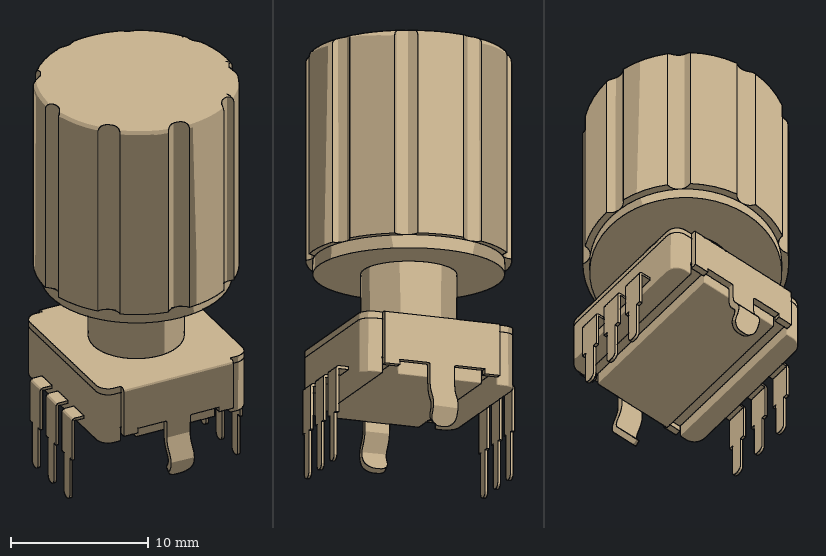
import cadquery as cq
import math


case_height = 4.6
neck_height = 5.0
collar_height = 1.0
grip_height = 15.5

grip_diameter = 15.0
knob_edge_radius = 0.5
collar_diameter = grip_diameter - 2 * knob_edge_radius
flute_count = 9
flute_radius = 1.0
flute_phase = -3.0
neck_diameter = 7.0

case_length = 12.35
case_width = 12.03
case_corner_radius = 1.0
plate_thickness = 0.5
groove_height = 1.2
groove_inner = 3.25
groove_outer = 4.48
case_edge_radius = 0.1

sheet_thickness = 0.48
side_width = 9.0
side_drop = 3.97
side_edge_radius = 0.25
notch_width = 6.65
notch_drop = 3.6

clip_width = 1.92
clip_straight_drop = 5.02
clip_angle = 33.0
clip_upper_radius = 1.55
clip_lower_radius = 1.15
clip_link_length = 0.4
clip_tail_length = 1.0
clip_tip_radius = 0.8
notch_corner_radius = 0.15

pin_columns = 3
pin_pitch = 2.5
pin_reach = 7.0
pin_thickness = 0.22
pin_bend_radius = 0.25
pin_top = 1.1
pin_wide_bottom = -2.4
pin_bottom = -5.92
pin_wide_width = 1.6
pin_narrow_width = 0.93
pin_tip_radius = 0.4

plate_bottom = case_height - plate_thickness
collar_bottom = case_height + neck_height
grip_bottom = collar_bottom + collar_height
side_outer = case_length / 2 + sheet_thickness


def make_knob():
    grip = (
        cq.Workplane("XY", origin=(0, 0, grip_bottom))
        .circle(grip_diameter / 2)
        .extrude(grip_height)
        .faces(">Z")
        .edges()
        .fillet(knob_edge_radius)
    )
    flutes = (
        cq.Workplane("XY", origin=(0, 0, grip_bottom))
        .polarArray(collar_diameter / 2 + flute_radius, flute_phase, 360, flute_count)
        .circle(flute_radius)
        .extrude(grip_height)
    )
    collar = (
        cq.Workplane("XY", origin=(0, 0, collar_bottom))
        .circle(collar_diameter / 2)
        .extrude(collar_height)
    )
    return grip.cut(flutes).union(collar)


def make_neck():
    return (
        cq.Workplane("XY", origin=(0, 0, case_height))
        .circle(neck_diameter / 2)
        .extrude(neck_height)
    )


def rounded_block(bottom, height):
    return (
        cq.Workplane("XY", origin=(0, 0, bottom))
        .rect(case_length, case_width)
        .extrude(height)
        .edges("|Z")
        .fillet(case_corner_radius)
    )


def make_housing():
    groove_middle = (groove_inner + groove_outer) / 2
    grooves = (
        cq.Workplane("XY")
        .pushPoints([(0, -groove_middle), (0, groove_middle)])
        .rect(case_length, groove_outer - groove_inner)
        .extrude(groove_height)
    )
    block = rounded_block(0, plate_bottom).cut(grooves)
    groove_zone = cq.selectors.BoxSelector(
        (-case_length, -case_width, 0),
        (case_length, case_width, groove_height),
    )
    block = block.edges("|Z").edges(groove_zone).fillet(case_edge_radius)
    return block.faces("<Z").edges().fillet(case_edge_radius)


def make_clip():
    """Bent strip on the +X side: out, round the elbow, and back in to the tip."""
    angle = math.radians(clip_angle)
    sin, cos = math.sin(angle), math.cos(angle)
    half_sin, half_cos = math.sin(angle / 2), math.cos(angle / 2)

    def face_points(inset):
        """Points down one face of the strip, inset from its outer face."""
        upper = clip_upper_radius + inset
        lower = clip_lower_radius - inset
        start = (side_outer - inset, case_height - clip_straight_drop)
        upper_mid = (start[0] + upper * (1 - half_cos), start[1] - upper * half_sin)
        upper_end = (start[0] + upper * (1 - cos), start[1] - upper * sin)
        link_end = (upper_end[0] + clip_link_length * sin, upper_end[1] - clip_link_length * cos)
        elbow = (link_end[0] + lower * (1 - cos), link_end[1] - lower * sin)
        tail_start = (link_end[0], link_end[1] - 2 * lower * sin)
        tip = (tail_start[0] - clip_tail_length * sin, tail_start[1] - clip_tail_length * cos)
        return start, upper_mid, upper_end, link_end, elbow, tail_start, tip

    start, upper_mid, upper_end, link_end, elbow, tail_start, tip = face_points(0)
    (
        back_start,
        back_upper_mid,
        back_upper_end,
        back_link_end,
        back_elbow,
        back_tail_start,
        back_tip,
    ) = face_points(sheet_thickness)
    clip_top = case_height - notch_drop
    strip = (
        cq.Workplane("XZ")
        .moveTo(side_outer, clip_top)
        .lineTo(*start)
        .threePointArc(upper_mid, upper_end)
        .lineTo(*link_end)
        .threePointArc(elbow, tail_start)
        .lineTo(*tip)
        .lineTo(*back_tip)
        .lineTo(*back_tail_start)
        .threePointArc(back_elbow, back_link_end)
        .lineTo(*back_upper_end)
        .threePointArc(back_upper_mid, back_start)
        .lineTo(side_outer - sheet_thickness, clip_top)
        .close()
        .extrude(clip_width / 2, both=True)
    )
    tip_middle_x = (tip[0] + back_tip[0]) / 2
    tip_middle_z = (tip[1] + back_tip[1]) / 2
    for y in (-clip_width / 2, clip_width / 2):
        corner = cq.selectors.NearestToPointSelector((tip_middle_x, y, tip_middle_z))
        strip = strip.edges(corner).fillet(clip_tip_radius)
    return strip


def make_side():
    """Side plate on the +X side, with a notch either side of its clip."""
    side_bottom = case_height - side_drop
    plate = (
        cq.Workplane("XY", origin=(case_length / 2 + sheet_thickness / 2, 0, side_bottom))
        .rect(sheet_thickness, side_width)
        .extrude(side_drop)
        .faces(">Z")
        .edges(">X")
        .fillet(side_edge_radius)
    )
    notch = (
        cq.Workplane("XY", origin=(case_length / 2 + sheet_thickness / 2, 0, side_bottom))
        .rect(sheet_thickness, notch_width)
        .extrude(side_drop - notch_drop)
    )
    side = plate.cut(notch).union(make_clip())
    root = case_height - notch_drop
    for y in (-clip_width / 2, clip_width / 2):
        corner = cq.selectors.NearestToPointSelector((side_outer - sheet_thickness / 2, y, root))
        side = side.edges(corner).fillet(notch_corner_radius)
    return side


def make_frame():
    """Top plate with the two side plates bent down from it."""
    side = make_side()
    return rounded_block(plate_bottom, plate_thickness).union(side).union(side.mirror("YZ"))


def make_pin():
    """Middle front pin: an arm leaving the -Y face, bent down into a stepped leg."""
    arm_length = pin_reach - case_width / 2
    bent_strip = (
        cq.Workplane("YZ")
        .moveTo(-case_width / 2, pin_top)
        .hLine(-arm_length)
        .vLine(pin_bottom - pin_top)
        .hLine(pin_thickness)
        .vLine(pin_top - pin_thickness - pin_bottom)
        .hLine(arm_length - pin_thickness)
        .close()
        .extrude(pin_wide_width / 2, both=True)
        .faces("<Y")
        .edges(">Z")
        .fillet(pin_bend_radius)
    )
    wide_part = (
        cq.Workplane("XY", origin=(0, 0, pin_wide_bottom))
        .rect(pin_wide_width, 2 * pin_reach)
        .extrude(pin_top - pin_wide_bottom)
    )
    narrow_part = (
        cq.Workplane("XY", origin=(0, 0, pin_bottom))
        .rect(pin_narrow_width, 2 * pin_reach)
        .extrude(pin_wide_bottom - pin_bottom)
        .faces("<Z")
        .edges("|Y")
        .fillet(pin_tip_radius)
    )
    return bent_strip.intersect(wide_part.union(narrow_part))


def make_pins():
    front_pin = make_pin()
    rear_pin = front_pin.mirror("XZ")
    pins = []
    for column in range(pin_columns):
        x = (column - (pin_columns - 1) / 2) * pin_pitch
        for pin in (front_pin, rear_pin):
            pins.append(pin.translate((x, 0, 0)).val())
    return pins


knob = make_knob()
neck = make_neck()
housing = make_housing()
frame = make_frame()
pins = make_pins()

single_bodies = [part.solids().val() for part in (knob, neck, housing, frame)]
result = cq.Compound.makeCompound([*single_bodies, *pins])